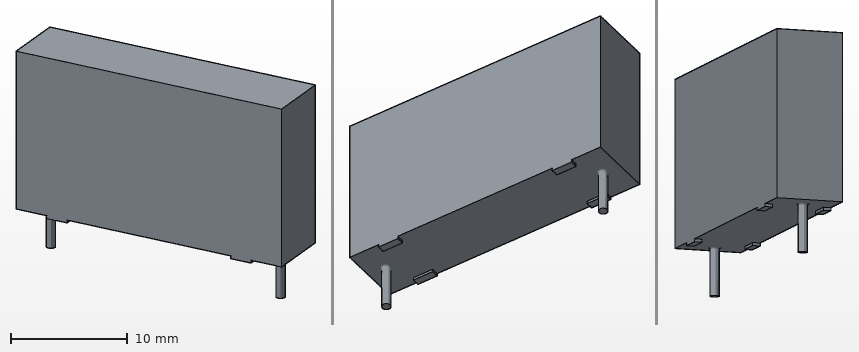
import cadquery as cq
import math

length = 26.0
depth = 6.0
total_height = 19.0

foot_length = 2.0
foot_depth = 0.7
foot_height = 0.25
foot_end_inset = 3.0

lead_diameter = 0.8
lead_pitch = 22.5
lead_below_feet = 4.0
flare_radius = foot_height

lead_length = foot_height + lead_below_feet
body_height = total_height - lead_length


def make_body():
    return cq.Workplane("XY").box(length, depth, body_height, centered=(True, True, False))


def make_feet():
    """Four pads flush with the front and back faces."""
    foot_x_spacing = length - 2 * foot_end_inset - foot_length
    foot_y_spacing = depth - foot_depth
    return (
        cq.Workplane("XY")
        .rarray(foot_x_spacing, foot_y_spacing, 2, 2)
        .rect(foot_length, foot_depth)
        .extrude(-foot_height)
    )


def make_lead(x):
    """One flared lead, revolved about the vertical line through x."""
    lead_radius = lead_diameter / 2
    flare_middle_offset = flare_radius * (1 - math.sqrt(0.5))
    lead = (
        cq.Workplane("XZ")
        .lineTo(lead_radius + flare_radius, 0)
        .threePointArc(
            (lead_radius + flare_middle_offset, -flare_middle_offset),
            (lead_radius, -flare_radius),
        )
        .lineTo(lead_radius, -lead_length)
        .lineTo(0, -lead_length)
        .close()
        .revolve(360, (0, 0), (0, 1))
    )
    return lead.translate((x, 0, 0))


result = make_body().union(make_feet())
for side in (-1, 1):
    result = result.union(make_lead(side * lead_pitch / 2))